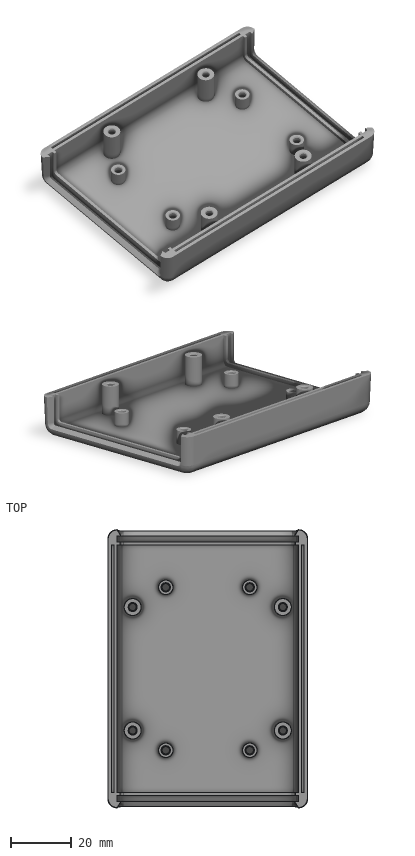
import cadquery as cq
import math

width = 66.2
length = 92.2
height = 14.0

draft_angle = 1.8
corner_radius = 3.0
bottom_radius = 4.0

wall = 3.0
floor = 3.3
cavity_radius = 1.7
cavity_length = 82.1

rib_thickness = 1.0
rib_step = 1.0
rib_floor = 4.6
rib_radius = 1.1
slot_width = 2.0
slot_floor = 2.0
slot_radius = 0.6
lip_step = 1.3
lip_floor = 4.15
lip_radius = 0.7
lip_flare = 1.3

groove_inset = 1.1
groove_width = 0.9
groove_depth = 1.4

bore_chamfer = 0.3
tall_boss = {"x": 24.9, "y": 20.5, "top": 13.5, "diameter": 5.6, "bore": 2.4}
short_boss = {"x": 13.9, "y": 27.0, "top": 8.1, "diameter": 4.8, "bore": 2.5}

rib_start = cavity_length / 2
slot_start = rib_start + rib_thickness
lip_start = slot_start + slot_width
lip_depth = length / 2 - lip_start


def outer_body():
    """Block that narrows downward from the rim, with rounded corners and lower edges."""
    rim_plane = cq.Workplane("XY", origin=(0, 0, height))
    block = rim_plane.rect(width, length).extrude(-height, taper=draft_angle)
    block = block.edges("not(#Z)").fillet(corner_radius)
    return block.faces("<Z").edges().fillet(bottom_radius)


def channel(inset, bottom, radius, start, depth, flare_angle=0):
    """Open-topped channel cutter along +Y, with rounded lower corners."""
    channel_width = width - 2 * inset
    channel_height = 2 * height
    profile = (
        cq.Sketch()
        .push([(0, bottom + channel_height / 2)])
        .rect(channel_width, channel_height)
        .reset()
        .vertices("<Y")
        .fillet(radius)
    )
    plane = cq.Plane(origin=(0, start, 0), xDir=(-1, 0, 0), normal=(0, 1, 0))
    return cq.Workplane(plane).placeSketch(profile).extrude(depth, taper=-flare_angle)


def end_opening():
    """Rib, panel slot and flared lip openings of the +Y end."""
    flare_angle = math.degrees(math.atan2(lip_flare, lip_depth))
    rib = channel(wall + rib_step, rib_floor, rib_radius, rib_start, rib_thickness)
    slot = channel(wall, slot_floor, slot_radius, slot_start, slot_width)
    lip = channel(wall + lip_step, lip_floor, lip_radius, lip_start, lip_depth, flare_angle)
    return rib.union(slot).union(lip)


def boss_points(boss):
    """Mirror-symmetric positions of the four bosses of one kind."""
    return [(sx * boss["x"], sy * boss["y"]) for sx in (-1, 1) for sy in (-1, 1)]


def add_bosses(body, boss):
    """Four bosses standing on the floor, bored down to floor level, with chamfered mouths."""
    rise = boss["top"] - floor
    bore_radius = boss["bore"] / 2
    tops = cq.Workplane("XY", origin=(0, 0, boss["top"])).pushPoints(boss_points(boss))
    posts = tops.circle(boss["diameter"] / 2).extrude(-rise)
    bores = tops.circle(bore_radius).extrude(-rise)
    mouths = tops.circle(bore_radius + bore_chamfer).extrude(-bore_chamfer, taper=45)
    return body.union(posts).cut(bores).cut(mouths)


shell = outer_body()
shell = shell.cut(channel(wall, floor, cavity_radius, -cavity_length / 2, cavity_length))

opening = end_opening()
shell = shell.cut(opening).cut(opening.mirror("XZ"))

groove_x = width / 2 - groove_inset - groove_width / 2
grooves = (
    cq.Workplane("XY", origin=(0, 0, height))
    .pushPoints([(-groove_x, 0), (groove_x, 0)])
    .rect(groove_width, cavity_length)
    .extrude(-groove_depth)
)
shell = shell.cut(grooves)

for boss in (tall_boss, short_boss):
    shell = add_bosses(shell, boss)

result = shell